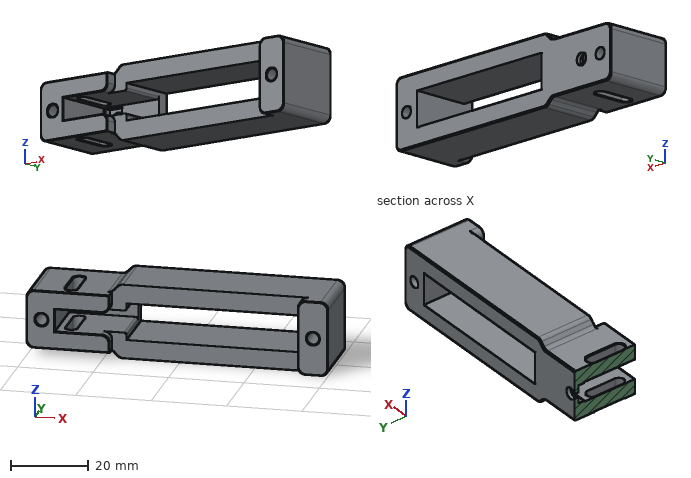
import cadquery as cq
import math

length = 80.0
depth = 20.0
height = 20.0
corner_radius = 2.0
front_chamfer = 0.2
back_chamfer = 0.3

head_height = 15.6
head_length = 22.0
foot_length = 8.0
beam_front = 3.2

shoulder_end = 24.1
shoulder_angle = 45.0
shoulder_radius = 2.0

window_start = 25.8
window_end = length - foot_length
window_height = 9.9

channel_start = 7.5
channel_height = 6.0
channel_depth = 16.8
channel_exit_radius = 0.6
mouth_radius = 2.0

hole_diameter = 3.3
hole_inset = 4.0
nut_center = 11.0
nut_hole_diameter = 3.4
nut_size = 5.4
nut_depth = 1.8

slot_center_x = 11.0
slot_width = 3.2
slot_length = 12.2
slot_center_y = 8.5


def box(x_start, x_end, y_start, y_end, z_size):
    """Box between two X and two Y positions, centred on Z = 0."""
    return (
        cq.Workplane("XY")
        .box(x_end - x_start, y_end - y_start, z_size, centered=(False, False, True))
        .translate((x_start, y_start, 0))
    )


def y_cylinder(x, diameter, y_start, y_end):
    """Cylinder along Y at the mid height of the body."""
    return (
        cq.Workplane("XZ", origin=(x, y_start, 0))
        .circle(diameter / 2)
        .extrude(y_start - y_end)
    )


def lengthwise_range(x_start, x_end, z_size):
    """Selector for edges centred between two X positions and within a height about Z = 0."""
    margin = 0.1
    z_limit = z_size / 2 + margin
    return cq.selectors.BoxSelector(
        (x_start - margin, -margin, -z_limit), (x_end + margin, depth + margin, z_limit)
    )


def make_main_body():
    """Stepped outline of head and beams, from the beam front to the back face."""
    shoulder_rise = (height - head_height) / 2
    shoulder_start = shoulder_end - shoulder_rise / math.tan(math.radians(shoulder_angle))
    upper = [
        (0, head_height / 2),
        (shoulder_start, head_height / 2),
        (shoulder_end, height / 2),
        (length, height / 2),
    ]
    lower = [(x, -z) for x, z in reversed(upper)]
    body = (
        cq.Workplane("XZ", origin=(0, beam_front, 0))
        .polyline(upper + lower)
        .close()
        .extrude(beam_front - depth)
    )
    shoulder_edges = lengthwise_range(shoulder_start, shoulder_end, height)
    body = body.edges("|Y").edges(shoulder_edges).fillet(shoulder_radius)
    body = body.edges("|Y").edges("<X or >X").fillet(corner_radius)
    return body.faces(">Y").chamfer(back_chamfer)


def make_head_front():
    """Front part of the head, open at the channel mouth."""
    head = box(0, head_length, 0, beam_front, head_height)
    head = head.edges("|Y and <X").fillet(corner_radius)
    head = head.cut(box(channel_start, head_length, 0, beam_front, channel_height))
    mouth_edges = lengthwise_range(head_length, head_length, channel_height)
    head = head.edges("|Y").edges(mouth_edges).fillet(mouth_radius)
    head = head.cut(y_cylinder(hole_inset, hole_diameter, 0, beam_front))
    return head.faces("<Y").chamfer(front_chamfer)


def make_foot_front():
    """Rounded foot pad standing forward of the beams."""
    foot = box(window_end, length, 0, beam_front, height)
    foot = foot.edges("|Y").fillet(corner_radius)
    foot = foot.cut(y_cylinder(length - hole_inset, hole_diameter, 0, beam_front))
    return foot.faces("<Y").chamfer(front_chamfer)


def open_channel(body):
    """Cut the channel behind the head front and round its two edges where it meets the window."""
    body = body.cut(box(channel_start, window_start, beam_front, channel_depth, channel_height))
    exit_edges = lengthwise_range(window_start, window_start, channel_height)
    return body.edges("|Y").edges(exit_edges).fillet(channel_exit_radius)


def make_head_slot():
    """Slot along Z through the head, chamfered where it meets the top and bottom faces."""
    slot = (
        cq.Workplane("XY", origin=(slot_center_x, slot_center_y, -head_height / 2))
        .slot2D(slot_length, slot_width, 90)
        .extrude(head_height)
    )
    for side in (1, -1):
        flare = (
            cq.Workplane("XY", origin=(slot_center_x, slot_center_y, side * head_height / 2))
            .slot2D(slot_length + 2 * front_chamfer, slot_width + 2 * front_chamfer, 90)
            .extrude(-side * front_chamfer, taper=45)
        )
        slot = slot.union(flare)
    return slot


body = make_main_body().union(make_head_front()).union(make_foot_front())
body = body.cut(box(window_start, window_end, beam_front, depth, window_height))
body = open_channel(body)
body = body.cut(make_head_slot())

nut_start = nut_center - nut_size / 2
nut_end = nut_center + nut_size / 2
body = body.cut(box(nut_start, nut_end, channel_depth, channel_depth + nut_depth, nut_size))

for hole_x in (hole_inset, length - hole_inset):
    body = body.cut(y_cylinder(hole_x, hole_diameter, beam_front, depth))
body = body.cut(y_cylinder(nut_center, nut_hole_diameter, channel_depth, depth))

result = body